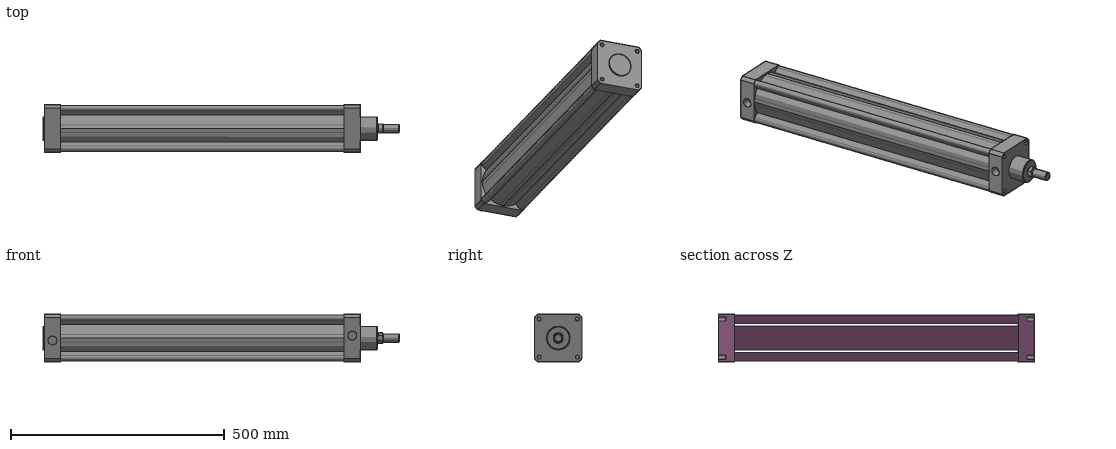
import cadquery as cq
import math


total_length = 833.0
rear_boss_length = 3.0
cap_length = 37.5
barrel_length = 663.0
front_boss_length = 40.0
collar_length = 14.0

rear_cap_start = rear_boss_length
barrel_start = rear_cap_start + cap_length
front_cap_start = barrel_start + barrel_length
front_cap_end = front_cap_start + cap_length
boss_end = front_cap_end + front_boss_length

cap_width = 112.0
cap_corner_chamfer = 7.5
boss_diameter = 55.0
boss_chamfer = 2.0
screw_hole_spacing = 89.0
screw_hole_diameter = 9.0
screw_hole_depth = 17.0
port_diameter = 21.0
port_depth = 21.0
port_offset = 6.0

tube_radius = 52.5
crest_half_width = 8.75
corner_center = 47.0
corner_radius = 7.5

rod_diameter = 20.0
rod_chamfer = 2.0
collar_diameter = 25.0
collar_chamfer = 2.5
flat_width = 22.0


def cylinder_along_x(start, length, diameter):
    return cq.Workplane("YZ", origin=(start, 0, 0)).circle(diameter / 2).extrude(length)


def make_cap(start, boss_start, boss_length, outer_side, port_height):
    """A square end cap with its round boss; outer_side is "<X" or ">X"."""
    cap = cq.Workplane("YZ", origin=(start, 0, 0)).rect(cap_width, cap_width).extrude(cap_length)
    cap = cap.edges("|X").chamfer(cap_corner_chamfer)

    screw_holes = (
        cap.faces(outer_side)
        .workplane(centerOption="CenterOfBoundBox")
        .rect(screw_hole_spacing, screw_hole_spacing, forConstruction=True)
        .vertices()
        .circle(screw_hole_diameter / 2)
        .extrude(-screw_hole_depth, combine=False)
    )
    cap = cap.cut(screw_holes)

    port_x = start + cap_length / 2
    port = (
        cq.Workplane("XZ", origin=(port_x, -cap_width / 2, port_height))
        .circle(port_diameter / 2)
        .extrude(-port_depth)
    )
    cap = cap.cut(port)

    return cap.union(cylinder_along_x(boss_start, boss_length, boss_diameter))


def make_barrel():
    """A round tube profile with four rounded corner ribs and a shallow crest on each side."""
    crest_angle = math.asin(crest_half_width / tube_radius)
    crest_base = tube_radius * math.cos(crest_angle)
    crest_tip = tube_radius / math.cos(crest_angle)
    barrel = cylinder_along_x(barrel_start, barrel_length, 2 * tube_radius)
    crest = (
        cq.Workplane("YZ", origin=(barrel_start, 0, 0))
        .polyline([
            (0, 0),
            (crest_base, -crest_half_width),
            (crest_tip, 0),
            (crest_base, crest_half_width),
        ])
        .close()
        .extrude(barrel_length)
    )

    center_distance = corner_center * math.sqrt(2)
    corner_rib = (
        cq.Workplane("YZ", origin=(barrel_start, 0, 0))
        .moveTo(0, -corner_radius)
        .lineTo(center_distance, -corner_radius)
        .threePointArc((center_distance + corner_radius, 0), (center_distance, corner_radius))
        .lineTo(0, corner_radius)
        .close()
        .extrude(barrel_length)
        .rotate((0, 0, 0), (1, 0, 0), 45)
    )

    for side in range(4):
        turn = 90 * side
        barrel = barrel.union(crest.rotate((0, 0, 0), (1, 0, 0), turn))
        barrel = barrel.union(corner_rib.rotate((0, 0, 0), (1, 0, 0), turn))
    return barrel


def make_rod():
    """The rod end: a collar with two wrench flats, then a thinner tip, standing on the front boss."""
    collar = cylinder_along_x(boss_end, collar_length, collar_diameter)
    collar = collar.faces("<X or >X").chamfer(collar_chamfer)
    flats = cq.Workplane("XY", origin=(boss_end, 0, 0)).box(
        collar_length, flat_width, collar_diameter, centered=(False, True, True)
    )
    collar = collar.intersect(flats)

    tip = cylinder_along_x(boss_end, total_length - boss_end, rod_diameter)
    tip = tip.faces(">X").chamfer(rod_chamfer)
    return collar.union(tip)


rear_cap = make_cap(rear_cap_start, 0, rear_boss_length, "<X", -port_offset)
front_cap = make_cap(front_cap_start, front_cap_end, front_boss_length, ">X", port_offset)
front_cap = front_cap.faces(">X").chamfer(boss_chamfer)
barrel = make_barrel()
rod = make_rod()

result = cq.Compound.makeCompound([rear_cap.val(), front_cap.val(), barrel.val(), rod.val()])